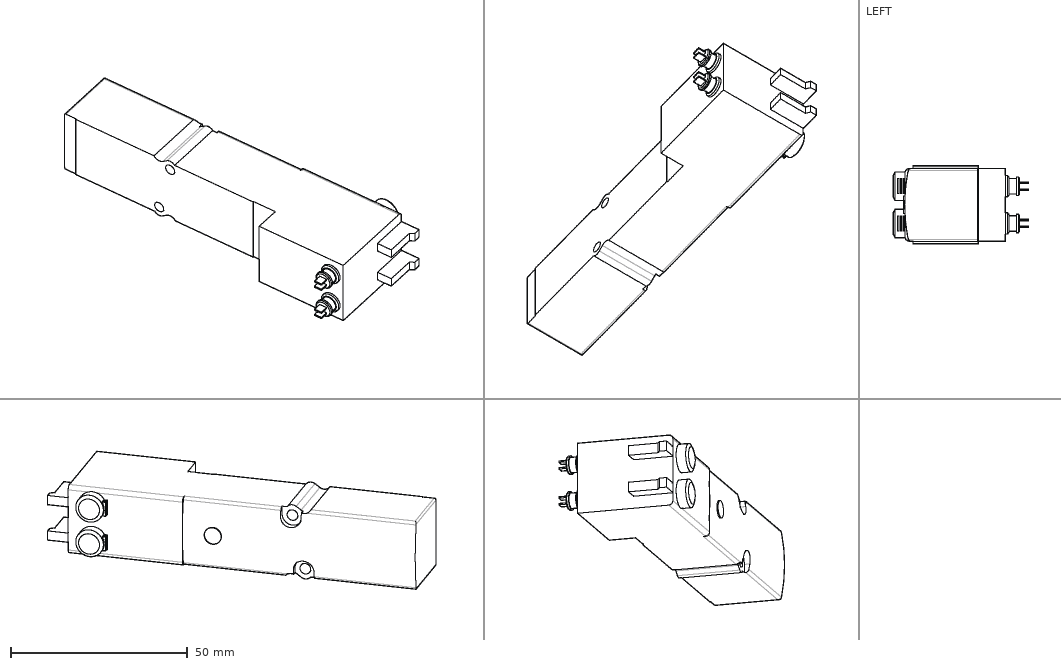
import cadquery as cq
import math

body_length = 102.4
body_half_height = 10.3
body_back = 20.8
overlap = 0.5

crown_end = 68.7
connector_back = 20.7
crown_drop = 1.1
crown_edge_radius = 1.0
connector_edge_radius = 1.2

recess_depth = 0.2
end_cap_length = 4.0
end_cap_edge_radius = 0.5
front_strip_start = 65.8

block_start = 73.2
block_front = -7.6

lobe_x = 36.9
groove_x = 33.1
lobe_radius = 2.0
groove_radius = 2.2
lobe_peak = 11.1
groove_floor = 9.3
hole_diameter = 3.1
hole_height = 7.9
screw_seat_width = 6.1
screw_seat_y = 18.5

pad_x = 59.7
pad_diameter = 5.0
pad_back = 21.2

pair_spacing = 10.5

socket_x = 98.3
socket_rim_diameter = 6.1
socket_rim_front = -8.7
socket_rim_chamfer_depth = 0.4
socket_rim_chamfer_width = 0.5
socket_neck_diameter = 4.5
socket_flange_diameter = 5.3
socket_flange_back = -10.7
socket_flange_front = -11.6
socket_flange_chamfer = 0.3
pin_tip = -14.1
pin_width = 2.4
pin_thickness = 0.4
pin_offset = 1.0

knob_x = 95.3
knob_diameter = 8.1
knob_back = 24.1
knob_chamfer_width = 1.0
knob_chamfer_depth = 0.5
rib_reach = 4.6
rib_width = 4.2
rib_thickness = 0.3
rib_pitch = 0.8
first_rib_y = 21.2
rib_count = 3

hook_spacing = 10.7
hook_thickness = 2.8
hook_front = 9.1
hook_arm_end = 107.2
hook_lip_end = 108.5
hook_lip_front = 18.8
hook_lip_root = 17.9


def box(x_range, y_range, z_range):
    """Block between the given limits on each axis."""
    low, high = zip(x_range, y_range, z_range)
    size = [b - a for a, b in zip(low, high)]
    return cq.Workplane("XY").box(*size, centered=False).translate(low)


def cylinder(x, z, diameter, y_start, y_end):
    """Cylinder along Y between two Y stations."""
    plane = cq.Workplane("XZ", origin=(x, y_end, z))
    return plane.circle(diameter / 2).extrude(y_end - y_start)


def half_turn(shape):
    """The same shape turned end for end about the middle of the hole pair."""
    middle = (lobe_x + groove_x) / 2
    return shape.rotate((middle, 0, 0), (middle, 1, 0), 180)


def make_valve_section():
    """Housing part with the crowned back."""
    crown_edge = body_back - crown_drop
    section = (
        cq.Workplane("YZ")
        .moveTo(0, -body_half_height)
        .lineTo(crown_edge, -body_half_height)
        .threePointArc((body_back, 0), (crown_edge, body_half_height))
        .lineTo(0, body_half_height)
        .close()
        .extrude(crown_end)
    )
    section = section.edges("|X").edges(">Y").fillet(crown_edge_radius)
    envelope = box((0, crown_end), (0, body_back), (-body_half_height, body_half_height))
    return section.intersect(envelope.edges("<X and |Y").fillet(end_cap_edge_radius))


def make_connector_section():
    """Housing part with the flat back and the block standing forward."""
    height = (-body_half_height, body_half_height)
    section = box((crown_end, body_length), (0, connector_back), height)
    section = section.edges("|X and >Y").fillet(connector_edge_radius)
    return section.union(box((block_start, body_length), (block_front, overlap), height))


def cut_front_recesses(body):
    """Step the front face back beside the end cap and the connector block."""
    height = (-body_half_height, body_half_height)
    for x_range in ((0, end_cap_length), (front_strip_start, block_start)):
        body = body.cut(box(x_range, (0, recess_depth), height))
    return body


def make_lobe_tools():
    """Groove to cut and lobe to add, joined by their common tangent."""
    lobe_z = lobe_peak - lobe_radius
    groove_z = groove_floor + groove_radius
    run = lobe_x - groove_x
    drop = groove_z - lobe_z
    center_distance = math.hypot(run, drop)
    tangent_angle = math.asin((lobe_radius + groove_radius) / center_distance) - math.atan2(drop, run)
    sine, cosine = math.sin(tangent_angle), math.cos(tangent_angle)
    groove_tangent = (groove_x + groove_radius * sine, groove_z - groove_radius * cosine)
    lobe_tangent = (lobe_x - lobe_radius * sine, lobe_z + lobe_radius * cosine)

    groove = cylinder(groove_x, groove_z, 2 * groove_radius, 0, body_back)
    ramp_clearance = (
        cq.Workplane("XZ")
        .polyline([(groove_x, groove_z), groove_tangent, lobe_tangent, (lobe_tangent[0], groove_z)])
        .close()
        .extrude(-body_back)
    )
    lobe = cylinder(lobe_x, lobe_z, 2 * lobe_radius, 0, screw_seat_y)
    ramp = (
        cq.Workplane("XZ")
        .polyline([groove_tangent, lobe_tangent, (lobe_x, lobe_z), (groove_tangent[0], lobe_z)])
        .close()
        .extrude(-screw_seat_y)
    )
    return groove.union(ramp_clearance), lobe.union(ramp)


def make_mounting_hole():
    """Through hole with a screw seat that is open to the side and the back."""
    hole = cylinder(lobe_x, hole_height, hole_diameter, 0, body_back)
    seat = cylinder(lobe_x, hole_height, screw_seat_width, screw_seat_y, body_back)
    half_width = screw_seat_width / 2
    opening = box(
        (lobe_x - half_width, lobe_x + half_width),
        (screw_seat_y, body_back),
        (hole_height, lobe_peak),
    )
    return hole.union(seat).union(opening)


def add_mountings(body):
    """Groove, lobe and hole on the top, and the same turned over on the bottom."""
    groove, lobe = make_lobe_tools()
    hole = make_mounting_hole()
    for tool in (groove, half_turn(groove)):
        body = body.cut(tool)
    for tool in (lobe, half_turn(lobe)):
        body = body.union(tool)
    for tool in (hole, half_turn(hole)):
        body = body.cut(tool)
    return body


def make_socket(z):
    """Front socket: chamfered rim, neck, flange and two flat pins."""
    rim = cylinder(socket_x, z, socket_rim_diameter, socket_rim_front, block_front + overlap)
    socket = rim.faces("<Y").chamfer(socket_rim_chamfer_depth, socket_rim_chamfer_width)
    socket = socket.union(cylinder(socket_x, z, socket_neck_diameter, socket_flange_front, block_front))
    flange = cylinder(socket_x, z, socket_flange_diameter, socket_flange_front, socket_flange_back)
    socket = socket.union(flange.faces("<Y").chamfer(socket_flange_chamfer))
    for pin_z in (z - pin_offset, z + pin_offset):
        pin = box(
            (socket_x - pin_width / 2, socket_x + pin_width / 2),
            (pin_tip, socket_flange_back),
            (pin_z - pin_thickness / 2, pin_z + pin_thickness / 2),
        )
        socket = socket.union(pin)
    return socket


def make_knob(z):
    """Back knob with a chamfered rim and a stack of grip ribs."""
    knob = cylinder(knob_x, z, knob_diameter, body_back - overlap, knob_back)
    knob = knob.faces(">Y").chamfer(knob_chamfer_depth, knob_chamfer_width)
    for index in range(rib_count):
        rib_y = first_rib_y + index * rib_pitch
        rib = box(
            (knob_x - rib_reach, knob_x),
            (rib_y - rib_thickness / 2, rib_y + rib_thickness / 2),
            (z - rib_width / 2, z + rib_width / 2),
        )
        knob = knob.union(rib)
    return knob


def make_hook(z):
    """Latch hook: flat arm with a sloped lip at the back."""
    profile = [
        (body_length, hook_front),
        (hook_arm_end, hook_front),
        (hook_arm_end, hook_lip_root),
        (hook_lip_end, hook_lip_front),
        (hook_lip_end, body_back),
        (body_length, body_back),
    ]
    plane = cq.Workplane("XY", origin=(0, 0, z - hook_thickness / 2))
    return plane.polyline(profile).close().extrude(hook_thickness)


body = make_valve_section().union(make_connector_section())
body = cut_front_recesses(body)
body = add_mountings(body)
body = body.union(cylinder(pad_x, 0, pad_diameter, body_back - crown_drop, pad_back))
for side in (-1, 1):
    body = body.union(make_socket(side * pair_spacing / 2))
    body = body.union(make_knob(side * pair_spacing / 2))
    body = body.union(make_hook(side * hook_spacing / 2))

result = body